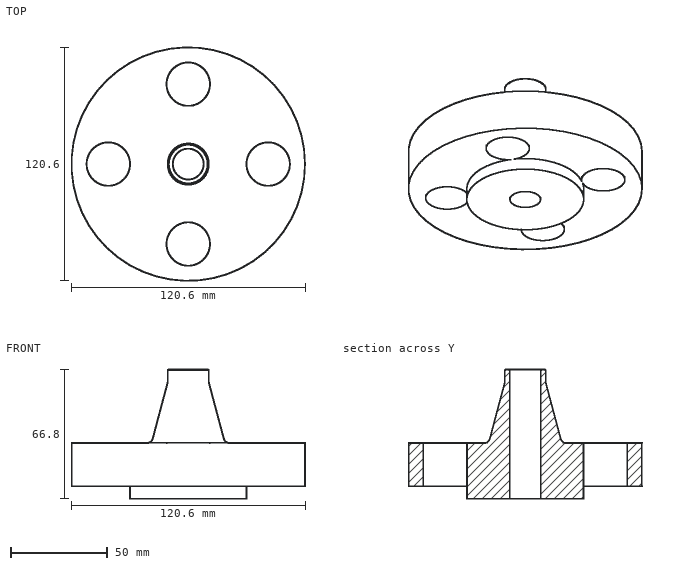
import cadquery as cq

flange_diameter = 120.6
flange_thickness = 22.4

face_diameter = 60.3
face_height = 6.4

hub_base_diameter = 38.0
hub_height = 38.0
hub_fillet = 3.0

neck_diameter = 21.3
neck_height = 6.8
neck_bevel_width = 0.7
neck_bevel_height = 0.4

bore_diameter = 15.8
bolt_hole_diameter = 22.3
bolt_circle_diameter = 82.5
bolt_hole_count = 4

neck_radius = neck_diameter / 2
neck_top = flange_thickness + hub_height
total_height = face_height + neck_top


def make_disc():
    """Flange disc with the raised face beneath it."""
    disc = cq.Workplane("XY").circle(flange_diameter / 2).extrude(flange_thickness)
    face = cq.Workplane("XY").circle(face_diameter / 2).extrude(-face_height)
    return disc.union(face)


def make_hub():
    """Tapered hub ending in a straight neck with a bevelled rim."""
    profile = [
        (0, flange_thickness),
        (hub_base_diameter / 2, flange_thickness),
        (neck_radius, neck_top - neck_height),
        (neck_radius, neck_top - neck_bevel_height),
        (neck_radius - neck_bevel_width, neck_top),
        (0, neck_top),
    ]
    return cq.Workplane("XZ").polyline(profile).close().revolve(360, (0, 0), (0, 1))


def fillet_hub_foot(body):
    """Round the circle where the hub meets the top of the disc."""
    disc_top = cq.selectors.NearestToPointSelector((0, 0, flange_thickness))
    inner_circle = cq.selectors.RadiusNthSelector(0)
    return body.faces(disc_top).edges(inner_circle).fillet(hub_fillet)


def base_plane():
    """Workplane on the underside of the raised face."""
    return cq.Workplane("XY", origin=(0, 0, -face_height))


def make_bore():
    """Cylinder that opens the bore through the full height."""
    return base_plane().circle(bore_diameter / 2).extrude(total_height)


def make_bolt_holes():
    """Ring of cylinders that open the bolt holes through the disc."""
    centres = base_plane().polarArray(bolt_circle_diameter / 2, 0, 360, bolt_hole_count)
    return centres.circle(bolt_hole_diameter / 2).extrude(face_height + flange_thickness)


blank = fillet_hub_foot(make_disc().union(make_hub()))
result = blank.cut(make_bore()).cut(make_bolt_holes())